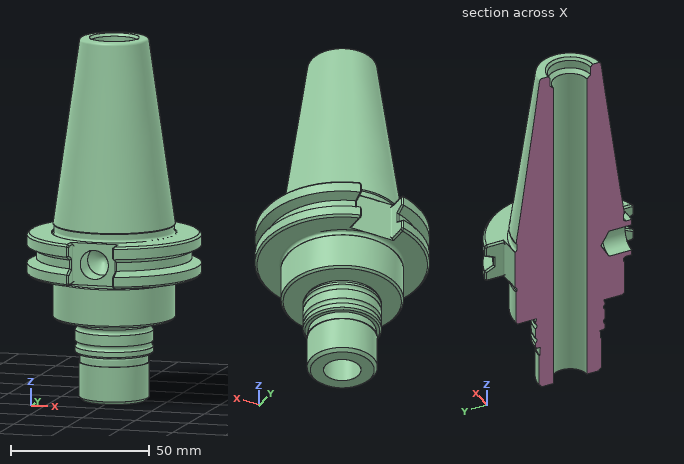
import cadquery as cq
import math

total_length = 133.0

taper_small_radius = 12.5
taper_top_round = 1.3
gauge_radius = 44.4 / 2
gauge_z = 64.7
gauge_chamfer = 0.4

flange_radius = 63.3 / 2
flange_top = 61.4
flange_bottom = 46.0
flange_chamfer = 0.8
groove_radius = 28.2
groove_z = 53.6
groove_floor_width = 3.2
groove_mouth_width = 6.5

relief_radius = gauge_radius - gauge_chamfer
relief_fillet = 0.9

body_top = 44.4
body_bottom = 29.9
body_chamfer = 0.8

nose_radius = 28.5 / 2
nose_bottom = 17.2
nose_chamfer = 0.7
nose_undercut_depth = 0.5
nose_undercut_height = 1.0
ring_groove_depth = 0.5
ring_groove_width = 2.1
ring_groove_lip = 0.3
ring_groove_centers = (26.9, 20.7)
pilot_radius = 25.5 / 2
pilot_neck_radius = 25.0 / 2
pilot_neck_bottom = 14.0
pilot_undercut_depth = 0.3
pilot_undercut_height = 0.9
pilot_chamfer = 1.2

bore_radius = 13.5 / 2
counterbore_radius = 16.5 / 2
counterbore_depth = 4.3
mouth_radius = 18.1 / 2
mouth_depth = 1.0

slot_width = 16.5
front_slot_floor = -25.1
back_slot_floor = 22.6
slot_edge_chamfer = 0.7
slot_corner_round = 0.5
drill_radius = 10.6 / 2
drill_depth = 9.3
drill_z = groove_z
drill_point_angle = 118.0


def make_outer_body():
    """Revolve the outer half profile, from the bottom face up to the top face."""
    groove_floor_half = groove_floor_width / 2
    groove_mouth_half = groove_mouth_width / 2
    profile = (
        cq.Workplane("XZ")
        .lineTo(pilot_radius - pilot_chamfer, 0)
        .lineTo(pilot_radius, pilot_chamfer)
        .lineTo(pilot_radius, pilot_neck_bottom)
        .lineTo(pilot_neck_radius, pilot_neck_bottom)
        .lineTo(pilot_neck_radius, nose_bottom - pilot_undercut_height)
        .lineTo(pilot_neck_radius - pilot_undercut_depth, nose_bottom)
        .lineTo(nose_radius - nose_chamfer, nose_bottom)
        .lineTo(nose_radius, nose_bottom + nose_chamfer)
        .lineTo(nose_radius, body_bottom - nose_undercut_height)
        .lineTo(nose_radius - nose_undercut_depth, body_bottom)
        .lineTo(gauge_radius - body_chamfer, body_bottom)
        .lineTo(gauge_radius, body_bottom + body_chamfer)
        .lineTo(gauge_radius, body_top - gauge_chamfer)
        .lineTo(relief_radius, body_top)
        .lineTo(relief_radius, flange_bottom - relief_fillet)
        .radiusArc((relief_radius + relief_fillet, flange_bottom), relief_fillet)
        .lineTo(flange_radius - flange_chamfer, flange_bottom)
        .lineTo(flange_radius, flange_bottom + flange_chamfer)
        .lineTo(flange_radius, groove_z - groove_mouth_half)
        .lineTo(groove_radius, groove_z - groove_floor_half)
        .lineTo(groove_radius, groove_z + groove_floor_half)
        .lineTo(flange_radius, groove_z + groove_mouth_half)
        .lineTo(flange_radius, flange_top - flange_chamfer)
        .lineTo(flange_radius - flange_chamfer, flange_top)
        .lineTo(relief_radius + relief_fillet, flange_top)
        .radiusArc((relief_radius, flange_top + relief_fillet), relief_fillet)
        .lineTo(relief_radius, gauge_z - gauge_chamfer)
        .lineTo(gauge_radius, gauge_z)
        .lineTo(taper_small_radius, total_length)
        .lineTo(0, total_length)
        .close()
    )
    solid = profile.revolve(360, (0, 0, 0), (0, 1, 0))
    return solid.faces(">Z").edges().fillet(taper_top_round)


def make_ring_groove(center_z):
    """Ring with a round floor and bevelled lips that cuts a shallow groove around the nose."""
    half_width = ring_groove_width / 2
    arc_half_width = half_width - ring_groove_lip
    lip_radius = nose_radius - ring_groove_lip
    return (
        cq.Workplane("XZ")
        .moveTo(nose_radius, center_z - half_width)
        .lineTo(lip_radius, center_z - arc_half_width)
        .threePointArc(
            (nose_radius - ring_groove_depth, center_z),
            (lip_radius, center_z + arc_half_width),
        )
        .lineTo(nose_radius, center_z + half_width)
        .close()
        .revolve(360, (0, 0, 0), (0, 1, 0))
    )


def make_bore():
    """Through bore, conical step, counterbore and chamfered mouth."""
    counterbore_floor = total_length - counterbore_depth
    step_height = counterbore_radius - bore_radius
    return (
        cq.Workplane("XZ")
        .lineTo(bore_radius, 0)
        .lineTo(bore_radius, counterbore_floor - step_height)
        .lineTo(counterbore_radius, counterbore_floor)
        .lineTo(counterbore_radius, total_length - mouth_depth)
        .lineTo(mouth_radius, total_length)
        .lineTo(0, total_length)
        .close()
        .revolve(360, (0, 0, 0), (0, 1, 0))
    )


def make_slot(floor_y):
    """Slot through the flange rim, from its flat floor outwards."""
    outer_y = math.copysign(flange_radius + 1.3, floor_y)
    return (
        cq.Workplane("XY")
        .workplane(offset=flange_bottom)
        .center(0, (outer_y + floor_y) / 2)
        .rect(slot_width, abs(outer_y - floor_y))
        .extrude(flange_top - flange_bottom)
    )


def chamfer_slot_edges(solid):
    """Break every open edge of the slot walls, leaving the edges on the slot floors sharp."""
    margin = 0.01
    edges = []
    for side in (-1, 1):
        wall_x = side * slot_width / 2
        for edge in solid.edges().vals():
            box = edge.BoundingBox()
            on_wall = abs(box.xmin - wall_x) < margin and abs(box.xmax - wall_x) < margin
            on_floor = any(
                abs(box.ymin - floor) < margin and abs(box.ymax - floor) < margin
                for floor in (front_slot_floor, back_slot_floor)
            )
            if on_wall and not on_floor:
                edges.append(edge)
    return solid.newObject(edges).chamfer(slot_edge_chamfer)


def round_slot_corners(solid):
    """Round the upright corners where the slot walls meet the slot floors."""
    middle_z = (flange_top + flange_bottom) / 2
    for floor_y in (front_slot_floor, back_slot_floor):
        for side in (-1, 1):
            corner = (side * slot_width / 2, floor_y, middle_z)
            solid = solid.edges("|Z").edges(cq.NearestToPointSelector(corner)).fillet(slot_corner_round)
    return solid


def make_drilled_hole():
    """Blind hole with a drill point, entering the front slot floor along Y."""
    point_length = drill_radius / math.tan(math.radians(drill_point_angle / 2))
    return (
        cq.Workplane("XY")
        .moveTo(0, front_slot_floor)
        .lineTo(drill_radius, front_slot_floor)
        .lineTo(drill_radius, front_slot_floor + drill_depth)
        .lineTo(0, front_slot_floor + drill_depth + point_length)
        .close()
        .revolve(360, (0, 0, 0), (0, 1, 0))
        .translate((0, 0, drill_z))
    )


result = make_outer_body()
for slot_floor in (front_slot_floor, back_slot_floor):
    result = result.cut(make_slot(slot_floor))
result = chamfer_slot_edges(result)
result = round_slot_corners(result)
for groove_center in ring_groove_centers:
    result = result.cut(make_ring_groove(groove_center))
result = result.cut(make_drilled_hole()).cut(make_bore())